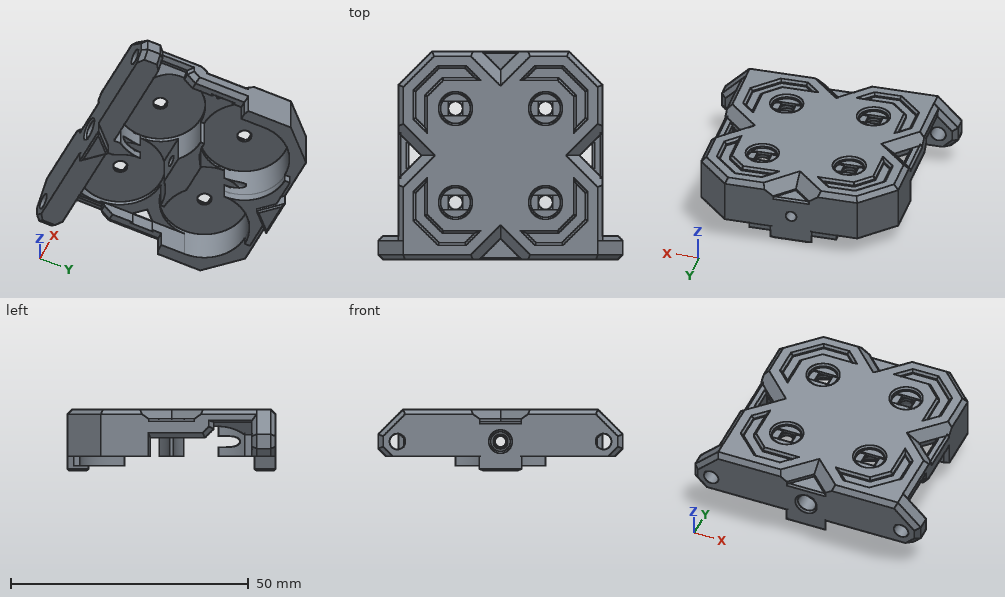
import cadquery as cq

length_x = 51.5
length_y = 43.85
top_z = 9.95
tongue_drop = 3.0
center_y = length_y / 2
edge_chamfer = 1.05
far = 103.0

plate_depth = 5.0
ear_slope = 5.25
ear_bottom_chamfer = 1.65
ear_hole_diameter = 3.3
ear_hole_x = 21.7
bore_z = 3.15

body_half_x = 21.5
body_corner = 7.05
wall_inner_x = 19.3
ceiling_z = 6.85
pocket_ceiling_z = 7.85

screw_x = 9.5
screw_pitch_y = 19.8
screw_front_y = center_y - screw_pitch_y / 2
screw_back_y = center_y + screw_pitch_y / 2
pocket_radius = 9.5
pocket_front_width = 15.45
pocket_shoulder_y = 6.45
pillar_half_y = 2.65

seat_diameter = 6.3
seat_chamfer = 0.4
seat_depth = 0.8
screw_diameter = 3.0
bridge_step = 0.3

bore_diameter = 2.3
bore_seat_diameter = 4.1
bore_seat_depth = 4.1
bore_entry_chamfer = 0.4

front_slope_bottom_z = 7.95
back_slope_bottom_z = 7.55
side_slope_bottom_z = front_slope_bottom_z
notch_overshoot = 10.3
end_notch_reach = 7.25
side_notch_reach = 7.65
notch_floor_z = 7.25
notch_lip = 0.4
wall_bevel = 0.5
tongue_reach = 4.5
tongue_chamfer = 0.35

fin_drop = 1.95
fin_back_y = 42.5

window_back_y = 26.8
window_low_z = 5.0
window_step_y = 14.05
window_step_rise = 1.3
window_high_z = 7.6
window_bevel = 1.1
window_small_bevel = 0.4
ramp_start_x = 19.85

groove_taper_depth = 0.5
groove_extra_depth = 0.3
groove_back_y = 18.9
groove_inner_x = 15.4
groove_inner_y = 15.8
groove_side_x = 18.4
groove_inner_corner = (12.05, 12.45)
groove_outer_corner = (13.15, 13.7)
groove_tip_x = 4.15
groove_tip_y = 4.7


def box(x0, x1, y0, y1, z0, z1):
    """Box between two opposite corners."""
    return cq.Workplane("XY").box(x1 - x0, y1 - y0, z1 - z0, centered=False).translate((x0, y0, z0))


def cylinder_z(diameter, x, y, z0, z1):
    """Upright cylinder."""
    return cq.Workplane("XY", origin=(x, y, z0)).circle(diameter / 2).extrude(z1 - z0)


def cylinder_y(diameter, x, z, y0, y1):
    """Cylinder along y."""
    return cq.Workplane("XZ", origin=(x, y0, z)).circle(diameter / 2).extrude(y0 - y1)


def both_sides(solid):
    """The solid together with its mirror image in x."""
    return solid.union(solid.mirror("YZ"))


def make_plate():
    """Front plate: sloped ears, with both faces bevelled except along the underside."""
    half = length_x / 2
    outline = [
        (half - ear_bottom_chamfer, 0),
        (half, ear_bottom_chamfer),
        (half, top_z - ear_slope),
        (half - ear_slope, top_z),
    ]
    outline += [(-x, z) for x, z in reversed(outline)]
    plate = cq.Workplane("XZ").polyline(outline).close().extrude(-plate_depth)
    return plate.faces("<Y or >Y").edges("not <Z").chamfer(edge_chamfer)


def make_body():
    """Main block with cut back corners and a chamfered top rim; its front end lies inside the plate."""
    block = box(-body_half_x, body_half_x, edge_chamfer, length_y, 0, top_z)
    block = block.edges("|Z and >Y").chamfer(body_corner)
    return block.faces(">Z").edges("not <Y").chamfer(edge_chamfer)


def triangle(reach, edge_y, direction, overshoot):
    """Right-angled triangle pointing into the part, its base beyond the edge by the overshoot."""
    half = reach + overshoot
    base_y = edge_y - direction * overshoot
    return [(-half, base_y), (half, base_y), (0, edge_y + direction * reach)]


def notch_slopes(reach, edge_y, direction, bottom_z):
    """V notch in the top face whose walls slope inwards at 45 degrees."""
    points = triangle(reach, edge_y, direction, notch_overshoot)
    outline = cq.Workplane("XY", origin=(0, 0, top_z)).polyline(points).close()
    return outline.extrude(bottom_z - top_z, taper=45)


def reach_at(reach, z):
    """How far the tip of a sloping notch reaches into the part at height z."""
    return reach - (top_z - z) * 2**0.5


def corner_bevel(y, z, direction, size, half_length):
    """Triangular prism along x that bevels an edge at (y, z); the wall lies towards the direction."""
    outline = cq.Workplane("YZ").polyline([(y, z), (y + direction * size, z), (y, z - size)]).close()
    return outline.extrude(half_length, both=True)


def end_notch(edge_y, direction, slope_bottom_z):
    """Notch in the front or back, with a flat floor that ends in a small sloping lip."""
    floor_reach = reach_at(end_notch_reach, slope_bottom_z)
    floor = (
        cq.Workplane("XY", origin=(0, 0, notch_floor_z))
        .polyline(triangle(floor_reach, edge_y, direction, 0))
        .close()
        .extrude(slope_bottom_z - notch_floor_z)
    )
    lip = corner_bevel(edge_y, notch_floor_z, direction, notch_lip, floor_reach)
    return notch_slopes(end_notch_reach, edge_y, direction, slope_bottom_z).union(floor).union(lip)


def side_notch():
    """Notch in the +X side that opens into the cavity and leaves a side wall with a bevelled top."""
    bottom_z = side_slope_bottom_z
    shaft_reach = reach_at(side_notch_reach, bottom_z)
    shaft = (
        cq.Workplane("XY")
        .polyline(triangle(shaft_reach, -body_half_x, 1, 0))
        .close()
        .extrude(bottom_z)
        .intersect(box(-far, far, -wall_inner_x, far, 0, far))
    )
    outer_bevel = corner_bevel(-body_half_x, bottom_z, 1, wall_bevel, shaft_reach)
    inner_half_length = shaft_reach - (body_half_x - wall_inner_x)
    inner_bevel = corner_bevel(-wall_inner_x, bottom_z, -1, wall_bevel, inner_half_length)
    notch = notch_slopes(side_notch_reach, -body_half_x, 1, bottom_z)
    notch = notch.union(shaft).union(outer_bevel).union(inner_bevel)
    return notch.rotate((0, 0, 0), (0, 0, 1), 90).translate((0, center_y, 0))


def make_tongue(edge_y, direction):
    """Triangular tongue below the body that fits an end notch of the next part."""
    tongue = (
        cq.Workplane("XY", origin=(0, 0, -tongue_drop))
        .polyline(triangle(tongue_reach, edge_y, direction, 0))
        .close()
        .extrude(tongue_drop)
    )
    return tongue.faces("<Z").chamfer(tongue_chamfer)


def make_fin():
    """Fin under the back edge, hollowed by the two back pockets."""
    fin = box(-screw_x, screw_x, screw_back_y, fin_back_y, -fin_drop, 0)
    for x in (-screw_x, screw_x):
        fin = fin.cut(cylinder_z(2 * pocket_radius, x, screw_back_y, -fin_drop, 0))
    return fin


def make_cavity():
    """Round pockets under the screws, joined around a central pillar."""
    front_round = cylinder_z(2 * pocket_radius, screw_x, screw_front_y, 0, pocket_ceiling_z)
    front_round = front_round.cut(box(-far, far, -far, pocket_shoulder_y, 0, far))
    front_straight = box(
        screw_x - pocket_front_width / 2, screw_x + pocket_front_width / 2,
        plate_depth, screw_front_y, 0, pocket_ceiling_z)
    back_round = cylinder_z(2 * pocket_radius, screw_x, screw_back_y, 0, pocket_ceiling_z)
    side_link = box(screw_x, screw_x + pocket_radius, screw_front_y, screw_back_y, 0, ceiling_z)
    cavity = both_sides(front_round.union(front_straight).union(back_round).union(side_link))
    middle_half = screw_x / 2
    front_link = box(-middle_half, middle_half, screw_front_y, center_y - pillar_half_y, 0, ceiling_z)
    back_link = box(-middle_half, middle_half, center_y + pillar_half_y, screw_back_y, 0, ceiling_z)
    return cavity.union(front_link).union(back_link)


def window_outline(small, large):
    """Side window outline in y and z, shrunk by the two bevel sizes."""
    diagonal = large * (2**0.5 - 1)
    return [
        (window_back_y - small, 0),
        (window_back_y - small, window_low_z - large),
        (window_step_y + window_step_rise - diagonal, window_low_z - large),
        (window_step_y - large, window_low_z + window_step_rise - diagonal),
        (window_step_y - large, window_high_z - small),
        (plate_depth, window_high_z - small),
        (plate_depth, 0),
    ]


def make_window():
    """Window through the +X wall with a bevelled outer rim and a sloping ceiling near the front."""
    inner_outline = window_outline(window_small_bevel, window_bevel)
    rim = (
        cq.Workplane("YZ", origin=(body_half_x, 0, 0))
        .polyline(window_outline(0, 0))
        .close()
        .workplane(offset=-window_bevel)
        .polyline(inner_outline)
        .close()
        .loft(ruled=True)
    )
    pocket_side_x = screw_x + pocket_front_width / 2
    opening = cq.Workplane("YZ", origin=(pocket_side_x, 0, 0)).polyline(inner_outline).close()
    opening = opening.extrude(body_half_x - window_bevel - pocket_side_x)
    ceiling_end_z = window_high_z - window_small_bevel
    ramp = (
        cq.Workplane("XZ", origin=(0, plate_depth, 0))
        .polyline([
            (pocket_side_x, ceiling_end_z),
            (ramp_start_x, ceiling_end_z),
            (pocket_side_x, ceiling_end_z - (ramp_start_x - pocket_side_x)),
        ])
        .close()
        .extrude(plate_depth - window_step_y)
    )
    return rim.union(opening.cut(ramp))


def make_screw_seat(x, y):
    """Seat for a screw head; a slot and a square step below it lead into the screw hole."""
    seat_z = top_z - seat_depth
    slot_z = seat_z - bridge_step
    square_z = slot_z - bridge_step
    half = screw_diameter / 2
    seat = cylinder_z(seat_diameter, x, y, seat_z, top_z)
    entry = cq.Workplane("XY", origin=(x, y, top_z)).circle(seat_diameter / 2 + seat_chamfer)
    entry = entry.extrude(-seat_chamfer, taper=45)
    slot = cylinder_z(seat_diameter, x, y, slot_z, seat_z).intersect(
        box(-far, far, y - half, y + half, slot_z, seat_z))
    square = box(x - half, x + half, y - half, y + half, square_z, slot_z)
    hole = cylinder_z(screw_diameter, x, y, 0, square_z)
    return seat.union(entry).union(slot).union(square).union(hole)


def make_bore():
    """Stepped bore along y on the centre line, opening at the front face."""
    bore_radius = bore_diameter / 2
    seat_radius = bore_seat_diameter / 2
    profile = [
        (0, 0),
        (seat_radius + bore_entry_chamfer, 0),
        (seat_radius, bore_entry_chamfer),
        (seat_radius, bore_seat_depth),
        (bore_radius + bore_entry_chamfer, bore_seat_depth),
        (bore_radius, bore_seat_depth + bore_entry_chamfer),
        (bore_radius, length_y),
        (0, length_y),
    ]
    bore = cq.Workplane("XY").polyline(profile).close().revolve(360, (0, 0, 0), (0, 1, 0))
    return bore.translate((0, 0, bore_z))


def make_groove():
    """Angular groove around the +X, +Y screw: sloping walls with a short upright step to the floor."""
    outline = [
        (groove_tip_x, groove_inner_y),
        (groove_tip_x + groove_back_y - groove_inner_y, groove_back_y),
        (groove_outer_corner[0], groove_back_y),
        (groove_side_x, groove_outer_corner[1]),
        (groove_side_x, groove_tip_y + groove_side_x - groove_inner_x),
        (groove_inner_x, groove_tip_y),
        (groove_inner_x, groove_inner_corner[1]),
        (groove_inner_corner[0], groove_inner_y),
    ]
    slopes = cq.Workplane("XY", origin=(0, center_y, top_z)).polyline(outline).close()
    slopes = slopes.extrude(-groove_taper_depth, taper=45)
    step = slopes.faces("<Z").wires().toPending().extrude(-groove_extra_depth)
    return slopes.union(step)


result = make_plate().union(make_body())
result = result.cut(make_cavity())
result = result.cut(both_sides(make_window()))
result = result.union(make_fin())
ends = [
    (0, 1, front_slope_bottom_z),
    (length_y, -1, back_slope_bottom_z),
]
for edge_y, direction, slope_bottom_z in ends:
    result = result.union(make_tongue(edge_y, direction))
    result = result.cut(end_notch(edge_y, direction, slope_bottom_z))
result = result.cut(both_sides(side_notch()))

for y in (screw_front_y, screw_back_y):
    result = result.cut(both_sides(make_screw_seat(screw_x, y)))
result = result.cut(make_bore())
result = result.cut(both_sides(cylinder_y(ear_hole_diameter, ear_hole_x, bore_z, 0, plate_depth)))

grooves = both_sides(make_groove())
result = result.cut(grooves).cut(grooves.mirror("XZ", (0, center_y, 0)))